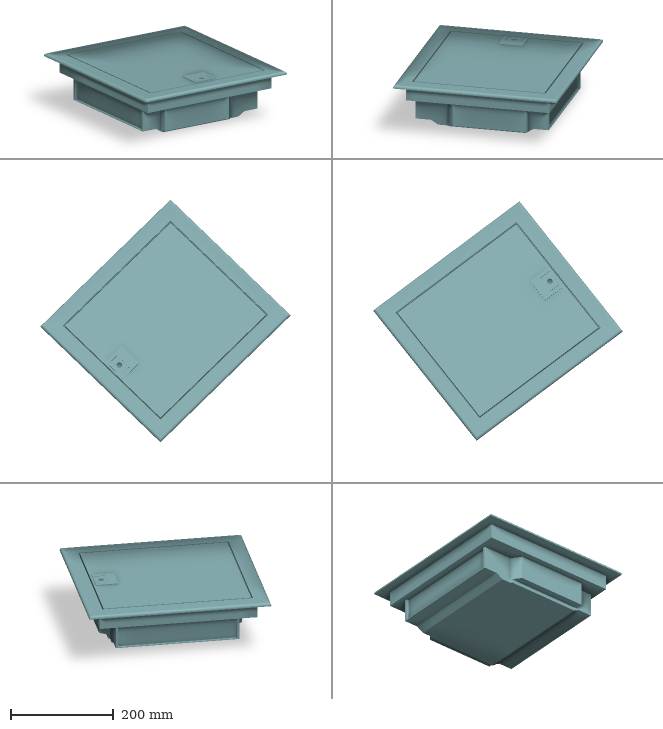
import cadquery as cq

FRAME_X = 360.0
FRAME_Y = 330.0
TOTAL_HEIGHT = 96.0

FRAME_BOTTOM = 88.2
PLATE_THICKNESS = 1.8
FRAME_TOP = TOTAL_HEIGHT - PLATE_THICKNESS
FRAME_EDGE_RADIUS = 5.0
OPENING_X = 298.0
OPENING_Y = 268.5
DOOR_GAP = 3.0
LEDGE_WIDTH = 1.5
LEDGE_TOP = 91.0

PLATE_LEFT = 97.2
PLATE_RIGHT = 142.0
PLATE_Y = 48.5
LOCK_X = 127.8
LOCK_WIDTH = 22.0
LOCK_LENGTH = 31.5
LOCK_END_GAP = 1.0
LOCK_TOP = 95.8
DIMPLE_RADIUS = 5.5

COLLAR_X = 312.5
COLLAR_Y = 288.7
COLLAR_BOTTOM = 57.2
BODY_X = 244.8
BODY_Y = 268.0
BODY_BOTTOM = 8.5
KEEL_BOTTOM_Y = 178.0
KEEL_SLOPE_RUN = 14.8

BULGE_X = 283.0
BULGE_FRONT = -94.5
BULGE_BACK = 55.0
BULGE_SLOPE_BACK = 69.5
STEP_X = 251.3
STEP_HEIGHT = 7.5

PANEL_X = 235.5
PANEL_BOTTOM = 10.0
PANEL_DEPTH = 5.8


def block(size_x, size_y, bottom, top):
    """Block centred on the Z axis between two heights."""
    return cq.Workplane("XY").workplane(offset=bottom).rect(size_x, size_y).extrude(top - bottom)


def make_body_core():
    """Body with a sloped keel along its underside and bulges on both sides."""
    plan = (
        cq.Workplane("XY")
        .moveTo(0, -BODY_Y / 2)
        .lineTo(BODY_X / 2, -BODY_Y / 2)
        .lineTo(BODY_X / 2, BULGE_FRONT)
        .lineTo(BULGE_X / 2, BULGE_FRONT)
        .lineTo(BULGE_X / 2, BULGE_BACK)
        .lineTo(BODY_X / 2, BULGE_SLOPE_BACK)
        .lineTo(BODY_X / 2, BODY_Y / 2)
        .lineTo(0, BODY_Y / 2)
        .mirrorY()
        .extrude(COLLAR_BOTTOM)
    )
    keel_top_y = KEEL_BOTTOM_Y / 2 + KEEL_SLOPE_RUN
    profile = (
        cq.Workplane("YZ")
        .moveTo(0, 0)
        .lineTo(KEEL_BOTTOM_Y / 2, 0)
        .lineTo(keel_top_y, BODY_BOTTOM)
        .lineTo(BODY_Y / 2, BODY_BOTTOM)
        .lineTo(BODY_Y / 2, COLLAR_BOTTOM)
        .lineTo(0, COLLAR_BOTTOM)
        .mirrorY()
        .extrude(BULGE_X / 2, both=True)
    )
    step = block(BULGE_X, BODY_Y, 0, STEP_HEIGHT).cut(block(STEP_X, BODY_Y, 0, STEP_HEIGHT))
    return plan.intersect(profile).cut(step)


def make_wall_box():
    """Body and collar, with a recessed panel in each end face of the body."""
    box = make_body_core().union(block(COLLAR_X, COLLAR_Y, COLLAR_BOTTOM, FRAME_BOTTOM))
    panel = block(PANEL_X, 2 * PANEL_DEPTH, PANEL_BOTTOM, COLLAR_BOTTOM)
    for end_y in (-BODY_Y / 2, BODY_Y / 2):
        box = box.cut(panel.translate((0, end_y, 0)))
    return box


def make_frame():
    """Rounded frame whose opening has a ledge around the door gap."""
    frame = block(FRAME_X, FRAME_Y, FRAME_BOTTOM, FRAME_TOP)
    frame = frame.faces(">Z").edges().fillet(FRAME_EDGE_RADIUS)
    opening = block(OPENING_X, OPENING_Y, LEDGE_TOP, FRAME_TOP)
    ledge_x = OPENING_X - 2 * LEDGE_WIDTH
    ledge_y = OPENING_Y - 2 * LEDGE_WIDTH
    ledge_opening = block(ledge_x, ledge_y, FRAME_BOTTOM, LEDGE_TOP)
    return frame.cut(opening).cut(ledge_opening)


def make_door():
    """Door panel with a hole that the lock fills."""
    door = block(OPENING_X - 2 * DOOR_GAP, OPENING_Y - 2 * DOOR_GAP, FRAME_BOTTOM, FRAME_TOP)
    lock_hole = block(LOCK_WIDTH, LOCK_LENGTH, FRAME_BOTTOM, FRAME_TOP)
    return door.cut(lock_hole.translate((LOCK_X, 0, 0)))


def make_handle_plate():
    """Thin plate on the door, with a window slightly longer than the lock."""
    plate = block(PLATE_RIGHT - PLATE_LEFT, PLATE_Y, FRAME_TOP, TOTAL_HEIGHT)
    window = block(LOCK_WIDTH, LOCK_LENGTH + 2 * LOCK_END_GAP, FRAME_TOP, TOTAL_HEIGHT)
    plate_x = (PLATE_LEFT + PLATE_RIGHT) / 2
    return plate.translate((plate_x, 0, 0)).cut(window.translate((LOCK_X, 0, 0)))


def make_lock():
    """Lock insert with a hemispherical dimple, set just below the face of the handle plate."""
    lock = block(LOCK_WIDTH, LOCK_LENGTH, FRAME_BOTTOM, LOCK_TOP)
    dimple = cq.Workplane("XY").sphere(DIMPLE_RADIUS, direct=(1, 0, 0)).translate((0, 0, LOCK_TOP))
    return lock.cut(dimple).translate((LOCK_X, 0, 0))


wall_box = make_wall_box()
frame = make_frame()
door = make_door()
handle_plate = make_handle_plate()
lock = make_lock()

result = cq.Compound.makeCompound(
    [wall_box.val(), frame.val(), door.val(), handle_plate.val(), lock.val()]
)